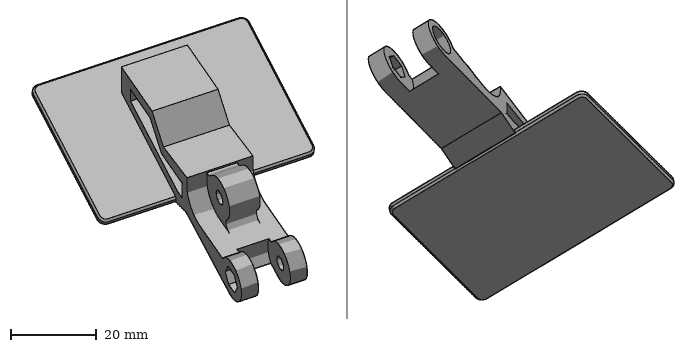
import cadquery as cq
import math

PLATE_LENGTH = 40.0
PLATE_WIDTH = 56.0
PLATE_THICKNESS = 2.1
PLATE_TILT = 16.0
PLATE_CENTER = (19.4, 10.8)
PLATE_CORNER_RADIUS = 2.0
PLATE_CHAMFER = 0.5

ARM_WIDTH = 17.1
ARM_LEFT = 9.2
ARM_TOP = 23.0
RAMP_TOP_X = 25.75
RAMP_FOOT = (31.9, 16.7)
BACK_WALL_TOP = 17.7
UNDERSIDE_PEAK = (44.1, 6.15)
PLATE_END_JOINT = (38.45, 4.65)

WINDOW_LEFT = 14.1
WINDOW_RIGHT = 41.85
WINDOW_TOP = 20.0
WINDOW_CEILING = 13.7
WINDOW_FLOOR = 8.95
WINDOW_RAMP_X = (24.6, 30.85)
WINDOW_FLOOR_START = 39.4

KNUCKLE_RADIUS = 5.5
LUG_RELIEF_RADIUS = 6.9
FORK_RELIEF_RADIUS = 6.65
PIN_RADIUS = 1.8
LUG_CENTER = (51.4, 15.1)
LUG_Y_MIN = -3.4
LUG_Y_MAX = 4.5
LUG_LEDGE_Z = 17.15
LUG_LEDGE_FILLET = 1.5
LUG_NECK_FILLET = 1.85
FORK_CENTER = (73.95 - KNUCKLE_RADIUS, KNUCKLE_RADIUS)
FORK_GAP = 8.2
HEX_ACROSS_CORNERS = 6.5
HEX_TURN = 2.4
EAR_THICKNESS = (ARM_WIDTH - FORK_GAP) / 2
HEAD_RECESS_RADIUS = 3.7
HEAD_RECESS_FLOOR = 1.2

BACK_WALL_X = LUG_CENTER[0] - LUG_RELIEF_RADIUS
DECK_Z = LUG_CENTER[1] - LUG_RELIEF_RADIUS


def polar(center, radius, angle):
    """Point at an angle in radians around a center in the XZ plane."""
    return (center[0] + radius * math.cos(angle), center[1] + radius * math.sin(angle))


def extrude_between(profile, y_min, y_max):
    """Extrude an XZ profile from y_min to y_max."""
    return profile.extrude(y_min - y_max).translate((0, y_min, 0))


def cylinder(center, radius, y_min, y_max):
    return extrude_between(cq.Workplane("XZ").center(*center).circle(radius), y_min, y_max)


def make_plate():
    plate = (
        cq.Workplane("XY")
        .box(PLATE_LENGTH, PLATE_WIDTH, PLATE_THICKNESS)
        .edges("|Z").fillet(PLATE_CORNER_RADIUS)
        .faces("<Z or >Z").edges().chamfer(PLATE_CHAMFER)
    )
    plate = plate.rotate((0, 0, 0), (0, 1, 0), PLATE_TILT)
    return plate.translate((PLATE_CENTER[0], 0, PLATE_CENTER[1]))


def make_arm():
    slope = math.tan(math.radians(PLATE_TILT))
    foot_z = PLATE_CENTER[1] + slope * (PLATE_CENTER[0] - ARM_LEFT)

    dx = UNDERSIDE_PEAK[0] - FORK_CENTER[0]
    dz = UNDERSIDE_PEAK[1] - FORK_CENTER[1]
    tangent_angle = math.atan2(dz, dx) + math.acos(KNUCKLE_RADIUS / math.hypot(dx, dz))
    deck_angle = math.pi - math.asin((DECK_Z - FORK_CENTER[1]) / KNUCKLE_RADIUS)

    profile = (
        cq.Workplane("XZ")
        .moveTo(ARM_LEFT, foot_z)
        .lineTo(ARM_LEFT, ARM_TOP)
        .lineTo(RAMP_TOP_X, ARM_TOP)
        .lineTo(*RAMP_FOOT)
        .lineTo(BACK_WALL_X, BACK_WALL_TOP)
        .lineTo(BACK_WALL_X, LUG_CENTER[1])
        .threePointArc(polar(LUG_CENTER, LUG_RELIEF_RADIUS, math.radians(225)), (LUG_CENTER[0], DECK_Z))
        .lineTo(*polar(FORK_CENTER, KNUCKLE_RADIUS, deck_angle))
        .threePointArc((FORK_CENTER[0] + KNUCKLE_RADIUS, FORK_CENTER[1]),
                       polar(FORK_CENTER, KNUCKLE_RADIUS, tangent_angle))
        .lineTo(*UNDERSIDE_PEAK)
        .lineTo(*PLATE_END_JOINT)
        .lineTo(*PLATE_CENTER)
        .close()
    )
    return extrude_between(profile, -ARM_WIDTH / 2, ARM_WIDTH / 2)


def make_window():
    slope = math.tan(math.radians(PLATE_TILT))
    left_floor = WINDOW_FLOOR + slope * (WINDOW_FLOOR_START - WINDOW_LEFT)
    profile = cq.Workplane("XZ").polyline([
        (WINDOW_LEFT, left_floor),
        (WINDOW_LEFT, WINDOW_TOP),
        (WINDOW_RAMP_X[0], WINDOW_TOP),
        (WINDOW_RAMP_X[1], WINDOW_CEILING),
        (WINDOW_RIGHT, WINDOW_CEILING),
        (WINDOW_RIGHT, WINDOW_FLOOR),
        (WINDOW_FLOOR_START, WINDOW_FLOOR),
    ]).close()
    return extrude_between(profile, -ARM_WIDTH / 2, ARM_WIDTH / 2)


def neck_fillet():
    """Start on the lug, middle and end on the deck of the fillet below the lug."""
    rise = DECK_Z + LUG_NECK_FILLET - LUG_CENTER[1]
    reach = math.sqrt((KNUCKLE_RADIUS + LUG_NECK_FILLET) ** 2 - rise ** 2)
    center = (LUG_CENTER[0] + reach, DECK_Z + LUG_NECK_FILLET)
    lug_angle = math.atan2(-rise, -reach)
    deck_angle = math.radians(270)
    middle_angle = (lug_angle + deck_angle) / 2
    return [polar(center, LUG_NECK_FILLET, angle) for angle in (lug_angle, middle_angle, deck_angle)]


def make_lug():
    flank_top = polar(LUG_CENTER, KNUCKLE_RADIUS, math.radians(135))
    flank_foot_x = flank_top[0] - (flank_top[1] - LUG_LEDGE_Z)
    setback = LUG_LEDGE_FILLET * math.tan(math.radians(45 / 2))
    ledge_center = (flank_foot_x - setback, LUG_LEDGE_Z + LUG_LEDGE_FILLET)
    ledge_start, ledge_mid, ledge_end = [
        polar(ledge_center, LUG_LEDGE_FILLET, math.radians(angle)) for angle in (-90, -67.5, -45)
    ]
    neck_start, neck_mid, neck_end = neck_fillet()
    root_x = (WINDOW_RIGHT + BACK_WALL_X) / 2
    root_z = (UNDERSIDE_PEAK[1] + DECK_Z) / 2
    profile = (
        cq.Workplane("XZ")
        .moveTo(root_x, LUG_LEDGE_Z)
        .lineTo(*ledge_start)
        .threePointArc(ledge_mid, ledge_end)
        .lineTo(*flank_top)
        .threePointArc(polar(LUG_CENTER, KNUCKLE_RADIUS, math.radians(45)), neck_start)
        .threePointArc(neck_mid, neck_end)
        .lineTo(LUG_CENTER[0], root_z)
        .lineTo(root_x, root_z)
        .close()
    )
    return extrude_between(profile, LUG_Y_MIN, LUG_Y_MAX)


def make_hex_recess():
    """Hexagonal opening through the whole front ear of the fork."""
    profile = (
        cq.Workplane("XZ")
        .center(*FORK_CENTER)
        .transformed(rotate=(0, 0, HEX_TURN))
        .polygon(6, HEX_ACROSS_CORNERS)
    )
    return extrude_between(profile, -ARM_WIDTH / 2, -ARM_WIDTH / 2 + EAR_THICKNESS)


result = (
    make_plate()
    .union(make_arm())
    .cut(make_window())
    .union(make_lug())
    .cut(cylinder(FORK_CENTER, FORK_RELIEF_RADIUS, -FORK_GAP / 2, FORK_GAP / 2))
    .cut(cylinder(FORK_CENTER, PIN_RADIUS, -ARM_WIDTH / 2, ARM_WIDTH / 2))
    .cut(cylinder(LUG_CENTER, PIN_RADIUS, LUG_Y_MIN, LUG_Y_MAX))
    .cut(make_hex_recess())
    .cut(cylinder(FORK_CENTER, HEAD_RECESS_RADIUS, FORK_GAP / 2 + HEAD_RECESS_FLOOR, ARM_WIDTH / 2))
)